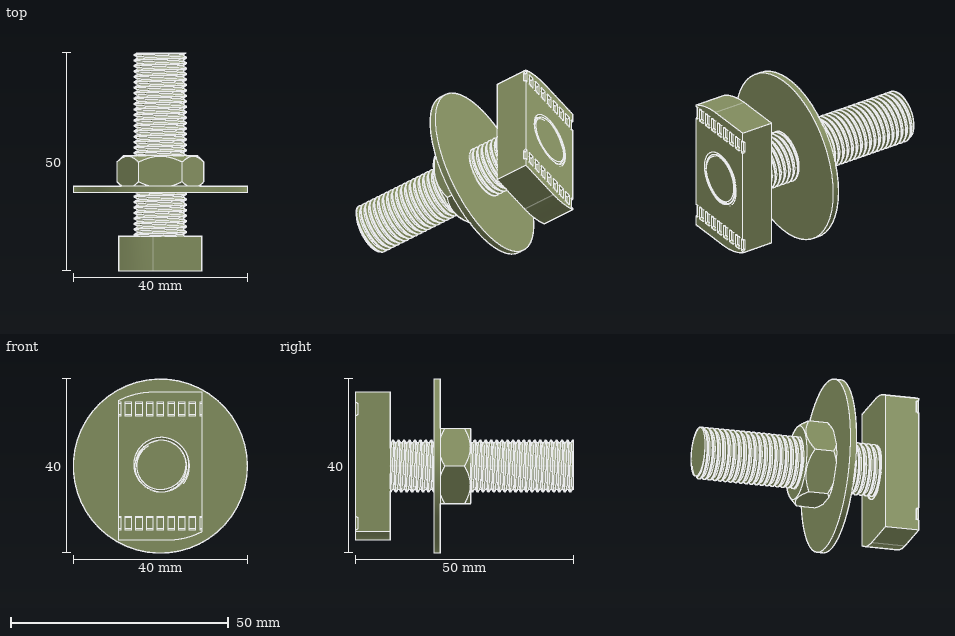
import cadquery as cq
import math


PITCH = 1.25
FLANK_ANGLE = 30
CREST_WIDTH = 0.2
RIDGE_START = 0.2
END_TURNS = 2

STUD_LENGTH = 50
STUD_ROOT_RADIUS = 5.4
STUD_CREST_RADIUS = 6

NUT_WIDTH = 19.1
NUT_HEIGHT = 34
NUT_THICKNESS = 8
HOLE_ROOT_RADIUS = 5.8
HOLE_CREST_RADIUS = 6.65
CORNER_TANGENT_X = 1.65

POCKET_STEPS_EACH_SIDE = 4
POCKET_PITCH = 2.45
POCKET_WIDTH = 1.5
POCKET_HEIGHT = 3.15
POCKET_DEPTH = 0.6
POCKET_TAPER = 0.3
POCKET_ROW_Z = 13.1

WASHER_RADIUS = 20
WASHER_THICKNESS = 1.5
WASHER_START = 18

HEX_CORNER_RADIUS = 10
HEX_THICKNESS = 7
HEX_START = WASHER_START + WASHER_THICKNESS
HEX_FRONT_CHAMFER = 1
HEX_REAR_CHAMFER = 1.5


def cylinder(radius, start, length):
    """Cylinder on the Y axis, from y = start."""
    return cq.Workplane("XZ", origin=(0, start, 0)).circle(radius).extrude(-length)


def helix_turn(radius, start):
    """One turn of a helix about the Z axis, starting on the +X side at z = start."""
    wire = cq.Wire.makeHelix(PITCH, PITCH, radius, center=cq.Vector(0, 0, start))
    return wire.Edges()[0]


def end_cap(profile):
    """Helicoid and step face that close a thread where its first ridge profile starts."""
    root_radius, start = profile[0]
    stop = profile[-1][1]
    axis = cq.Edge.makeLine(cq.Vector(0, 0, start), cq.Vector(0, 0, stop))
    helicoid = cq.Face.makeRuledSurface(helix_turn(root_radius, start), axis)
    outline = [(0, start), *profile, (0, stop)]
    step = cq.Workplane("XZ").polyline(outline).close().wire().val()
    return helicoid, cq.Face.makeFromWires(step)


def threaded_rod(root_radius, crest_radius, length):
    """Right-hand threaded rod on the Y axis from y = 0, with flush ends."""
    half_crest = CREST_WIDTH / 2
    half_base = half_crest + (crest_radius - root_radius) * math.tan(math.radians(FLANK_ANGLE))
    profile = [
        (root_radius, -half_base),
        (crest_radius, -half_crest),
        (crest_radius, half_crest),
        (root_radius, half_base),
        (root_radius, PITCH - half_base),
    ]
    turns = math.ceil(length / PITCH) + 2 * END_TURNS
    thread_length = turns * PITCH

    faces = []
    for turn in range(turns):
        rise = turn * PITCH
        for (radius, z), (next_radius, next_z) in zip(profile, profile[1:]):
            lower = helix_turn(radius, z + rise)
            upper = helix_turn(next_radius, next_z + rise)
            faces.append(cq.Face.makeRuledSurface(lower, upper))
    for face in end_cap(profile):
        faces.append(face)
        faces.append(face.translate(cq.Vector(0, 0, thread_length)))
    thread = cq.Workplane(cq.Solid.makeSolid(cq.Shell.makeShell(faces)))
    thread = thread.rotate((0, 0, 0), (1, 0, 0), -90)
    thread = thread.translate((0, RIDGE_START - END_TURNS * PITCH, 0))
    return thread.intersect(cylinder(2 * crest_radius, 0, length))


def make_stud():
    return threaded_rod(STUD_ROOT_RADIUS, STUD_CREST_RADIUS, STUD_LENGTH)


def grip_pocket(x, z):
    """Cutter for one pocket whose floor is shorter than its mouth."""
    half_mouth = POCKET_HEIGHT / 2
    half_floor = half_mouth - POCKET_TAPER
    outline = [
        (0, z - half_mouth),
        (POCKET_DEPTH, z - half_floor),
        (POCKET_DEPTH, z + half_floor),
        (0, z + half_mouth),
    ]
    start = x - POCKET_WIDTH / 2
    return cq.Workplane("YZ", origin=(start, 0, 0)).polyline(outline).close().extrude(POCKET_WIDTH)


def make_channel_nut():
    """Plate with two opposite corners rounded so that it can turn inside a channel."""
    side = NUT_WIDTH / 2
    end = NUT_HEIGHT / 2

    def arc_height(x):
        return math.sqrt(end**2 - (x - CORNER_TANGENT_X) ** 2)

    arc_middle_x = (side + CORNER_TANGENT_X) / 2
    nut = (
        cq.Workplane("XZ")
        .moveTo(side, end)
        .lineTo(-CORNER_TANGENT_X, end)
        .threePointArc((-arc_middle_x, arc_height(arc_middle_x)), (-side, arc_height(side)))
        .lineTo(-side, -end)
        .lineTo(CORNER_TANGENT_X, -end)
        .threePointArc((arc_middle_x, -arc_height(arc_middle_x)), (side, -arc_height(side)))
        .close()
        .extrude(-NUT_THICKNESS)
    )
    for step in range(-POCKET_STEPS_EACH_SIDE, POCKET_STEPS_EACH_SIDE + 1):
        for z in (-POCKET_ROW_Z, POCKET_ROW_Z):
            nut = nut.cut(grip_pocket(step * POCKET_PITCH, z))
    return nut.cut(threaded_rod(HOLE_ROOT_RADIUS, HOLE_CREST_RADIUS, NUT_THICKNESS))


def make_washer():
    washer = cylinder(WASHER_RADIUS, WASHER_START, WASHER_THICKNESS)
    return washer.cut(cylinder(STUD_CREST_RADIUS, WASHER_START, WASHER_THICKNESS))


def make_hex_nut():
    """Hexagon with corners on the X axis, turned down conically at both ends."""
    hexagon = (
        cq.Workplane("XZ", origin=(0, HEX_START, 0))
        .polygon(6, 2 * HEX_CORNER_RADIUS)
        .extrude(-HEX_THICKNESS)
    )
    envelope = (
        cylinder(HEX_CORNER_RADIUS, HEX_START, HEX_THICKNESS)
        .faces("<Y")
        .chamfer(HEX_FRONT_CHAMFER)
        .faces(">Y")
        .chamfer(HEX_REAR_CHAMFER)
    )
    bore = cylinder(STUD_CREST_RADIUS, HEX_START, HEX_THICKNESS)
    return hexagon.intersect(envelope).cut(bore)


stud = make_stud()
channel_nut = make_channel_nut()
washer = make_washer()
hex_nut = make_hex_nut()

result = cq.Compound.makeCompound([
    stud.solids().val(),
    channel_nut.solids().val(),
    washer.solids().val(),
    hex_nut.solids().val(),
])